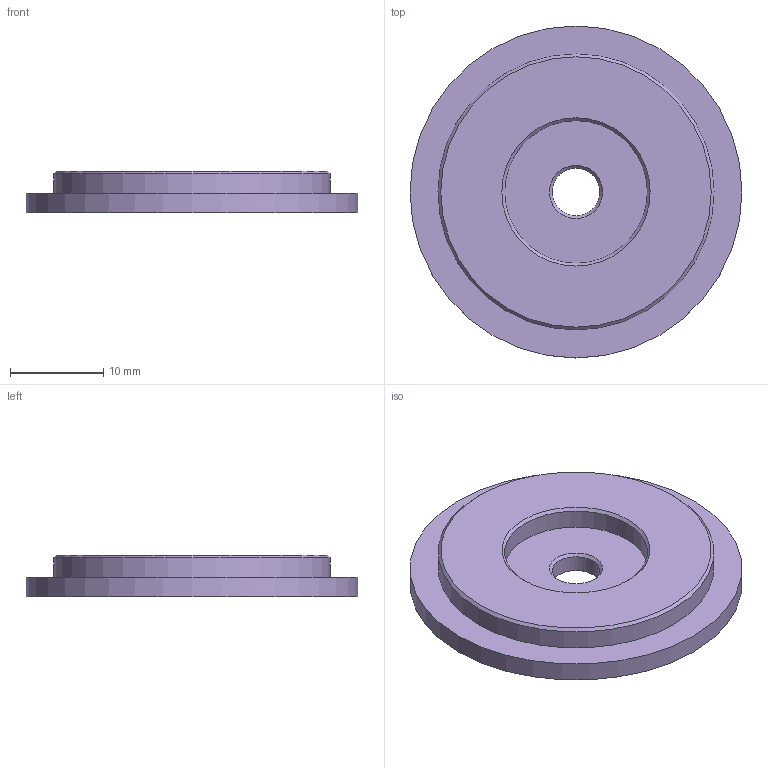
import cadquery as cq

flange_diameter = 35.6
flange_thickness = 2.1
boss_diameter = 29.6
total_height = 4.5
recess_diameter = 15.3
recess_depth = 2.4
bore_diameter = 5.1
edge_chamfer = 0.3

boss_height = total_height - flange_thickness
recess_floor_z = total_height - recess_depth


def stepped_disc():
    """Flange with a concentric boss whose top rim is chamfered."""
    flange = cq.Workplane("XY").circle(flange_diameter / 2).extrude(flange_thickness)
    boss = (
        cq.Workplane("XY", origin=(0, 0, flange_thickness))
        .circle(boss_diameter / 2)
        .extrude(boss_height)
        .faces(">Z")
        .edges()
        .chamfer(edge_chamfer)
    )
    return flange.union(boss)


def chamfered_hole(diameter, bottom_z, top_z):
    """Cutter for a round hole with a 45 degree chamfer at its top edge."""
    radius = diameter / 2
    profile = [
        (0, bottom_z),
        (radius, bottom_z),
        (radius, top_z - edge_chamfer),
        (radius + edge_chamfer, top_z),
        (0, top_z),
    ]
    return cq.Workplane("XZ").polyline(profile).close().revolve(360, (0, 0), (0, 1))


recess = chamfered_hole(recess_diameter, recess_floor_z, total_height)
bore = chamfered_hole(bore_diameter, 0, recess_floor_z)

result = stepped_disc().cut(recess).cut(bore)